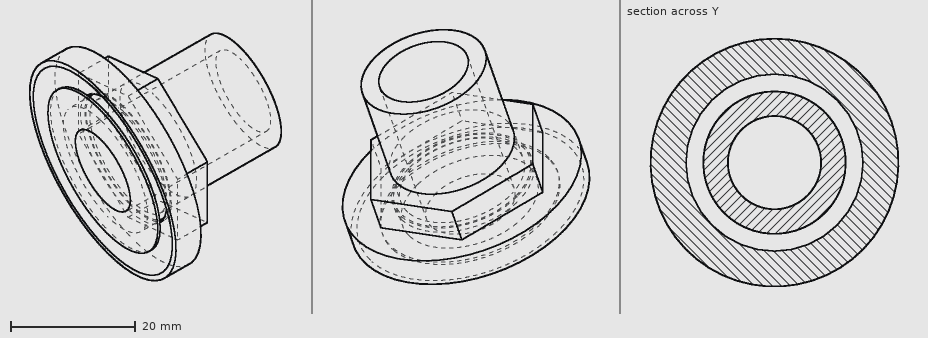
import cadquery as cq
import math


TUBE_LENGTH = 28.0
TUBE_DIAMETER = 20.95
BORE_DIAMETER = 15.0
FLANGE_DIAMETER = 30.0
FLANGE_THICKNESS = 0.5
SHOULDER_DIAMETER = 23.0

CUP_DIAMETER = 40.0
CUP_LENGTH = 5.0
CUP_EDGE_WIDTH = 1.0
HOLE_DIAMETER = 23.6
HOLE_LENGTH = 0.9

NUT_ACROSS_FLATS = 27.1
NUT_LENGTH = 6.0

TAPER_DEPTH = CUP_LENGTH - HOLE_LENGTH
TAPER_MOUTH_DIAMETER = CUP_DIAMETER - 2 * CUP_EDGE_WIDTH
NUT_ACROSS_CORNERS = NUT_ACROSS_FLATS / math.cos(math.pi / 6)


def plane_at(y):
    """Plane across the axis at y, with its normal along +Y and its x direction along +Z."""
    return cq.Workplane(cq.Plane(origin=(0, y, 0), xDir=(0, 0, 1), normal=(0, 1, 0)))


def cylinder(diameter, start, end):
    """Round bar on the shared axis between two Y positions."""
    return plane_at(start).circle(diameter / 2).extrude(end - start)


def make_flanged_tube():
    """Tube whose shoulder rests on the nut, with a flange level with the cup's edge."""
    flange = cylinder(FLANGE_DIAMETER, 0, FLANGE_THICKNESS)
    shoulder = cylinder(SHOULDER_DIAMETER, 0, CUP_LENGTH)
    tube = cylinder(TUBE_DIAMETER, 0, TUBE_LENGTH)
    bore = cylinder(BORE_DIAMETER, 0, TUBE_LENGTH)
    return flange.union(shoulder).union(tube).cut(bore)


def make_cup():
    """Disc with a tapered recess in its front and a clearance hole for the shoulder."""
    disc = cylinder(CUP_DIAMETER, 0, CUP_LENGTH)
    taper = (
        plane_at(0)
        .circle(TAPER_MOUTH_DIAMETER / 2)
        .workplane(offset=TAPER_DEPTH)
        .circle(HOLE_DIAMETER / 2)
        .loft(ruled=True)
    )
    hole = cylinder(HOLE_DIAMETER, TAPER_DEPTH, CUP_LENGTH)
    return disc.cut(taper).cut(hole)


def make_nut():
    """Hexagonal nut around the tube, with two corners on the Z axis."""
    hexagon = plane_at(CUP_LENGTH).polygon(6, NUT_ACROSS_CORNERS).extrude(NUT_LENGTH)
    return hexagon.cut(cylinder(TUBE_DIAMETER, CUP_LENGTH, CUP_LENGTH + NUT_LENGTH))


flanged_tube = make_flanged_tube()
cup = make_cup()
nut = make_nut()

result = cq.Compound.makeCompound([flanged_tube.val(), cup.val(), nut.val()])